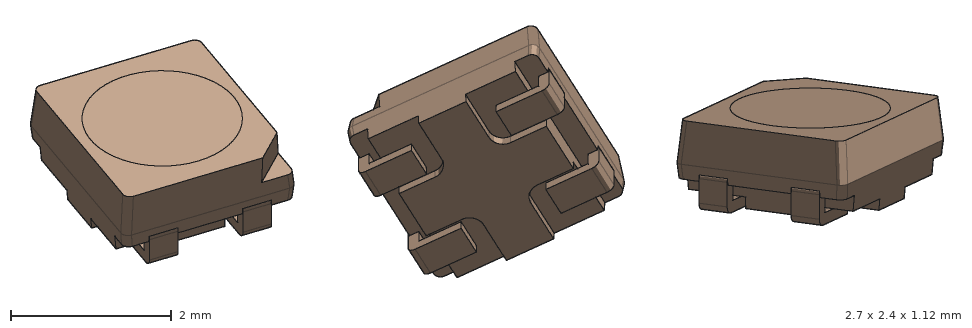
import cadquery as cq
import math

length = 2.7
width = 2.4
height = 1.12
standoff = 0.02
half_height = (height - standoff) / 2
parting_z = standoff + half_height
wall_inset = 0.05
draft_angle = math.degrees(math.atan(wall_inset / half_height))
corner_radius = 0.1

base_length = 2.085
ledge_z = 0.375
notch_top_z = 0.17
notch_inner_x = 0.335
notch_inner_y = 0.355
notch_radius = 0.2

mark_leg = 0.5
mark_depth = 0.35

lead_thickness = 0.15
lead_width = 0.4
lead_pitch = 1.301
foot_length = 0.75
lead_bend_radius = 0.1
lead_top_z = 0.515
lead_arm_length = 0.405

lens_diameter = 1.998
lens_depth = half_height


def make_shell():
    """Drafted half with rounded corners, joined to its mirror image at the parting plane."""
    upper = (
        cq.Workplane("XY")
        .workplane(offset=parting_z)
        .rect(length, width)
        .extrude(half_height, taper=draft_angle)
        .edges("not(#Z)")
        .fillet(corner_radius)
    )
    lower = upper.mirror("XY", (0, 0, parting_z))
    return upper.union(lower)


def make_end_cutter(side):
    """Block that removes the shell below the ledge at one X end."""
    cut_length = (length - base_length) / 2
    return (
        cq.Workplane("XY")
        .box(cut_length, width, ledge_z, centered=(True, True, False))
        .translate((side * (base_length + cut_length) / 2, 0, 0))
    )


def make_notch_cutter(side_x, side_y):
    """Block for the recess above one foot, rounded at its inner vertical edge."""
    size_x = length / 2 - notch_inner_x
    size_y = width / 2 - notch_inner_y
    inner_x_side = "<X" if side_x > 0 else ">X"
    inner_y_side = "<Y" if side_y > 0 else ">Y"
    return (
        cq.Workplane("XY")
        .box(size_x, size_y, notch_top_z, centered=(True, True, False))
        .edges(f"(|Z and {inner_x_side}) and {inner_y_side}")
        .fillet(notch_radius)
        .translate((side_x * (notch_inner_x + size_x / 2), side_y * (notch_inner_y + size_y / 2), 0))
    )


def make_mark_cutter():
    """Triangular prism that lowers the +X +Y corner of the top face."""
    corner_x = length / 2
    corner_y = width / 2
    return (
        cq.Workplane("XY")
        .workplane(offset=height - mark_depth)
        .moveTo(corner_x, corner_y)
        .lineTo(corner_x - mark_leg, corner_y)
        .lineTo(corner_x, corner_y - mark_leg)
        .close()
        .extrude(mark_depth)
    )


def make_lead(side_x, side_y):
    """C-shaped strip: foot, upright and an upper arm running into the housing."""
    outer_x = side_x * length / 2
    upright_inner_x = side_x * (length / 2 - lead_thickness)
    foot_end_x = side_x * (length / 2 - foot_length)
    arm_end_x = side_x * (length / 2 - lead_arm_length)
    outer_face = ">X" if side_x > 0 else "<X"
    return (
        cq.Workplane("XZ")
        .moveTo(foot_end_x, 0)
        .lineTo(outer_x, 0)
        .lineTo(outer_x, lead_top_z)
        .lineTo(arm_end_x, lead_top_z)
        .lineTo(arm_end_x, ledge_z)
        .lineTo(upright_inner_x, ledge_z)
        .lineTo(upright_inner_x, lead_thickness)
        .lineTo(foot_end_x, lead_thickness)
        .close()
        .extrude(lead_width / 2, both=True)
        .faces(outer_face)
        .edges("|Y")
        .fillet(lead_bend_radius)
        .translate((0, side_y * lead_pitch / 2, 0))
    )


def make_lens():
    """Round disc whose flat face lies level with the housing top."""
    return (
        cq.Workplane("XY")
        .workplane(offset=height - lens_depth)
        .circle(lens_diameter / 2)
        .extrude(lens_depth)
    )


def make_housing(lens):
    """Shell with ledges, notches, corner mark and leads, and a recess fitting the lens."""
    body = make_shell()
    for side_x in (-1, 1):
        body = body.cut(make_end_cutter(side_x))
        for side_y in (-1, 1):
            body = body.cut(make_notch_cutter(side_x, side_y))
    body = body.cut(make_mark_cutter())
    for side_x in (-1, 1):
        for side_y in (-1, 1):
            body = body.union(make_lead(side_x, side_y))
    return body.cut(lens)


lens = make_lens()
housing = make_housing(lens)

result = cq.Compound.makeCompound([housing.val(), lens.val()])